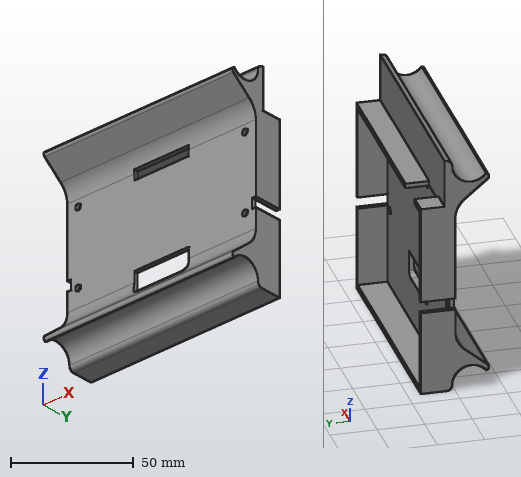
import cadquery as cq
import math

WIDTH = 104.0
HEIGHT = 104.0
DEPTH = 28.69
WALL = 2.0
BOX_DEPTH = 14.5
BOX_TOP = 31.5

RAIL_BACK = 10.0
RAIL_EDGE_FLAT = 0.7
RAIL_EDGE_RADIUS = 2.5
GROOVE_RADIUS = 8.0
LIP_RADIUS = 1.5
LIP_CENTER_Z = 43.1
LIP_SLOPE = 39.5
PLATE_BLEND_RADIUS = 11.0

WINDOW_WIDTH = 30.0
TOP_WINDOW = (22.5, 27.5)
BOTTOM_WINDOW = (-31.0, -20.0)
WINDOW_CORNER_RADIUS = 2.5
HOLE_DIAMETER = 3.0
HOLE_X = 46.0
HOLE_ROWS = (22.0, -16.0)

SIDE_SLOT = (-15.5, -10.5)
TOP_NOTCH = (-42.0, -27.0)

HALF_WIDTH = WIDTH / 2
HALF_HEIGHT = HEIGHT / 2
INNER_FRONT = BOX_DEPTH - WALL


def block(x_range, depth_range, z_range):
    """Box given by its X range, its range of depth in front of the rim, and its Z range."""
    size_x = x_range[1] - x_range[0]
    size_y = depth_range[1] - depth_range[0]
    size_z = z_range[1] - z_range[0]
    corner = (x_range[0], -depth_range[1], z_range[0])
    return cq.Workplane("XY").box(size_x, size_y, size_z, centered=False).translate(corner)


def on_circle(center, radius, degrees):
    """Point on a circle in the (depth, Z) profile plane; 0 degrees points to the front."""
    angle = math.radians(degrees)
    return (center[0] + radius * math.cos(angle), center[1] + radius * math.sin(angle))


def rail(back):
    """Top rail, from the given back depth: edge round, groove, rounded lip and plate blend."""
    edge_center = (RAIL_BACK + RAIL_EDGE_FLAT, HALF_HEIGHT - RAIL_EDGE_RADIUS)
    groove_back = edge_center[0] + RAIL_EDGE_RADIUS
    groove_center = (groove_back + GROOVE_RADIUS, edge_center[1])
    lip_center = (DEPTH - LIP_RADIUS, LIP_CENTER_Z)

    span_y = lip_center[0] - groove_center[0]
    span_z = lip_center[1] - groove_center[1]
    span = math.hypot(span_y, span_z)
    cos_offset = (GROOVE_RADIUS**2 + span**2 - LIP_RADIUS**2) / (2 * GROOVE_RADIUS * span)
    span_angle = math.degrees(math.atan2(span_z, span_y))
    crossing_angle = span_angle + math.degrees(math.acos(cos_offset))
    lip_corner = on_circle(groove_center, GROOVE_RADIUS, crossing_angle)
    groove_middle = on_circle(groove_center, GROOVE_RADIUS, (crossing_angle - 180) / 2)

    underside_angle = LIP_SLOPE - 90
    lip_end = on_circle(lip_center, LIP_RADIUS, underside_angle)
    run_to_plate = lip_end[0] - BOX_DEPTH
    knee_z = lip_end[1] - run_to_plate * math.tan(math.radians(LIP_SLOPE))
    tangent_length = PLATE_BLEND_RADIUS * math.tan(math.radians((90 - LIP_SLOPE) / 2))
    blend_center = (BOX_DEPTH + PLATE_BLEND_RADIUS, knee_z - tangent_length)
    blend_start = on_circle(blend_center, PLATE_BLEND_RADIUS, LIP_SLOPE + 90)
    blend_middle = on_circle(blend_center, PLATE_BLEND_RADIUS, (LIP_SLOPE + 270) / 2)
    blend_end = (BOX_DEPTH, blend_center[1])

    profile = (
        cq.Workplane("YZ")
        .moveTo(back, HALF_HEIGHT)
        .lineTo(edge_center[0], HALF_HEIGHT)
        .threePointArc(on_circle(edge_center, RAIL_EDGE_RADIUS, 45), (groove_back, edge_center[1]))
        .threePointArc(groove_middle, lip_corner)
        .threePointArc(on_circle(lip_center, LIP_RADIUS, 0), lip_end)
        .lineTo(*blend_start)
        .threePointArc(blend_middle, blend_end)
        .lineTo(back, blend_end[1])
        .close()
    )
    return profile.extrude(HALF_WIDTH, both=True).mirror("XZ")


def open_box():
    """Box with a front plate, four walls and an open back; the bottom rail closes it below."""
    outer = block((-HALF_WIDTH, HALF_WIDTH), (0, BOX_DEPTH), (-BOX_TOP, BOX_TOP))
    top_rail = rail(RAIL_BACK)
    bottom_rail = rail(0).mirror("XY")
    cavity = block(
        (-HALF_WIDTH + WALL, HALF_WIDTH - WALL),
        (0, INNER_FRONT),
        (-HALF_HEIGHT + WALL, BOX_TOP - WALL),
    )
    return outer.union(top_rail).union(bottom_rail).cut(cavity)


def window(z_range):
    """Cutter for a centred window through the plate."""
    return block((-WINDOW_WIDTH / 2, WINDOW_WIDTH / 2), (INNER_FRONT, DEPTH), z_range)


def bottom_window():
    """Window cutter with its two lower corners rounded."""
    cutter = window(BOTTOM_WINDOW)
    return cutter.faces("<Z").edges("|Y").fillet(WINDOW_CORNER_RADIUS)


def screw_holes():
    """Cutter for the four holes through the plate."""
    centers = [(x, z) for x in (-HOLE_X, HOLE_X) for z in HOLE_ROWS]
    return cq.Workplane("XZ").pushPoints(centers).circle(HOLE_DIAMETER / 2).extrude(DEPTH)


def side_slots():
    """Cutter for the slots through both side walls and the edges of the plate."""
    left = block((-HALF_WIDTH, -HALF_WIDTH + WALL), (0, BOX_DEPTH), SIDE_SLOT)
    return left.union(left.mirror("YZ"))


def top_notch():
    """Cutter for the notch in the top wall, open to the back."""
    return block(TOP_NOTCH, (0, RAIL_BACK), (BOX_TOP - WALL, BOX_TOP))


result = (
    open_box()
    .cut(window(TOP_WINDOW))
    .cut(bottom_window())
    .cut(screw_holes())
    .cut(side_slots())
    .cut(top_notch())
)